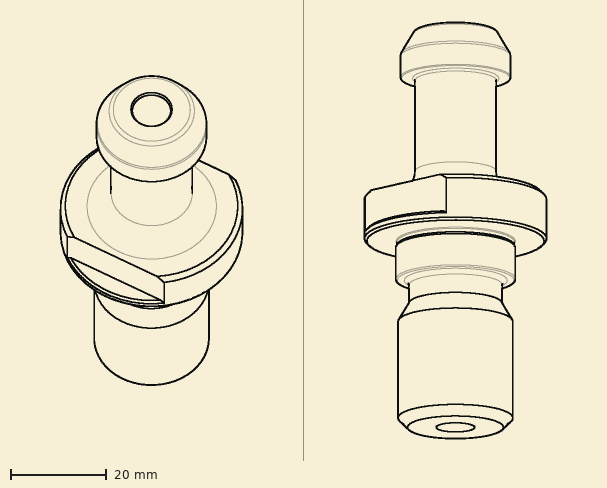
import cadquery as cq
import math


head_top = 45.0
head_bottom = 35.0
head_radius = 23.0 / 2
head_cone_height = 5.0
head_cone_angle = 30.0
head_tip_fillet = 1.0
head_shoulder_fillet = 1.0
head_rim_fillet = 0.2

shank_radius = 17.0 / 2
shank_top_fillet = 0.5
shank_root_fillet = 5.0

flange_radius = 38.0 / 2
flange_top = 10.0
flange_top_chamfer = 1.0
flange_rim_chamfer = 0.5
flats_width = 30.0
flat_floor = 2.0

relief_radius = 24.5 / 2
relief_bottom = -1.0
relief_root_fillet = 0.2
collar_radius = 25.0 / 2
collar_cone_angle = 30.0
collar_bottom = -8.4
collar_rim_fillet = 0.3

undercut_radius = 19.5 / 2
undercut_fillet = 1.0
thread_radius = 24.0 / 2
thread_top = -17.3
thread_bottom = -40.0
thread_cone_angle = 30.0
thread_end_chamfer = 2.0

bore_radius = 8.0 / 2
bore_mouth_depth = 0.5
bore_mouth_angle = 30.0


def cone_height(small_radius, large_radius, angle):
    """Axial length of a cone whose side leans by angle (degrees) from the axis."""
    return (large_radius - small_radius) / math.tan(math.radians(angle))


head_cone_bottom = head_top - head_cone_height
head_tip_radius = head_radius - head_cone_height * math.tan(math.radians(head_cone_angle))
collar_top = relief_bottom - cone_height(relief_radius, collar_radius, collar_cone_angle)
undercut_bottom = thread_top + cone_height(undercut_radius, thread_radius, thread_cone_angle)


def turned_body():
    """Solid of revolution with sharp corners, except for the shank root fillet and the chamfers."""
    root_edge_radius = shank_radius + shank_root_fillet
    root_top = flange_top + shank_root_fillet
    arc_offset = shank_root_fillet * (1 - math.sqrt(0.5))
    root_arc_middle = (shank_radius + arc_offset, flange_top + arc_offset)
    return (
        cq.Workplane("XZ")
        .moveTo(0, thread_bottom)
        .lineTo(thread_radius - thread_end_chamfer, thread_bottom)
        .lineTo(thread_radius, thread_bottom + thread_end_chamfer)
        .lineTo(thread_radius, thread_top)
        .lineTo(undercut_radius, undercut_bottom)
        .lineTo(undercut_radius, collar_bottom)
        .lineTo(collar_radius, collar_bottom)
        .lineTo(collar_radius, collar_top)
        .lineTo(relief_radius, relief_bottom)
        .lineTo(relief_radius, 0)
        .lineTo(flange_radius - flange_rim_chamfer, 0)
        .lineTo(flange_radius, flange_rim_chamfer)
        .lineTo(flange_radius, flange_top - flange_top_chamfer)
        .lineTo(flange_radius - flange_top_chamfer, flange_top)
        .lineTo(root_edge_radius, flange_top)
        .threePointArc(root_arc_middle, (shank_radius, root_top))
        .lineTo(shank_radius, head_bottom)
        .lineTo(head_radius, head_bottom)
        .lineTo(head_radius, head_cone_bottom)
        .lineTo(head_tip_radius, head_top)
        .lineTo(0, head_top)
        .close()
        .revolve(360, (0, 0, 0), (0, 1, 0))
    )


def fillet_ring(body, radius, z, fillet):
    """Round the circular edge that has the given radius and height."""
    tolerance = 1e-4
    rings = [
        edge
        for edge in body.edges("%CIRCLE").vals()
        if abs(edge.radius() - radius) < tolerance and abs(edge.Center().z - z) < tolerance
    ]
    return body.newObject(rings).fillet(fillet)


def round_corners(body):
    corners = [
        (head_tip_radius, head_top, head_tip_fillet),
        (head_radius, head_cone_bottom, head_shoulder_fillet),
        (head_radius, head_bottom, head_rim_fillet),
        (shank_radius, head_bottom, shank_top_fillet),
        (relief_radius, 0, relief_root_fillet),
        (collar_radius, collar_bottom, collar_rim_fillet),
        (undercut_radius, collar_bottom, undercut_fillet),
    ]
    for radius, z, fillet in corners:
        body = fillet_ring(body, radius, z, fillet)
    return body


def flat_cutter(side):
    """Material removed beside one flat; its floor is the ledge, with a chamfered outer rim."""
    flat_y = flats_width / 2
    blank_size = 2 * flange_radius
    blank = (
        cq.Workplane("XY")
        .workplane(offset=flat_floor - flange_rim_chamfer)
        .center(0, side * (flat_y + blank_size / 2))
        .rect(2 * blank_size, blank_size)
        .extrude(flange_top - flat_floor + flange_rim_chamfer)
    )
    ledge = (
        cq.Workplane("XY")
        .circle(flange_radius)
        .extrude(flat_floor)
        .faces(">Z")
        .chamfer(flange_rim_chamfer)
    )
    return blank.cut(ledge)


def bore():
    mouth_radius = bore_radius + bore_mouth_depth * math.tan(math.radians(bore_mouth_angle))
    return (
        cq.Workplane("XZ")
        .moveTo(0, thread_bottom)
        .lineTo(bore_radius, thread_bottom)
        .lineTo(bore_radius, head_top - bore_mouth_depth)
        .lineTo(mouth_radius, head_top)
        .lineTo(0, head_top)
        .close()
        .revolve(360, (0, 0, 0), (0, 1, 0))
    )


result = round_corners(turned_body())
for flat_side in (1, -1):
    result = result.cut(flat_cutter(flat_side))
result = result.cut(bore())